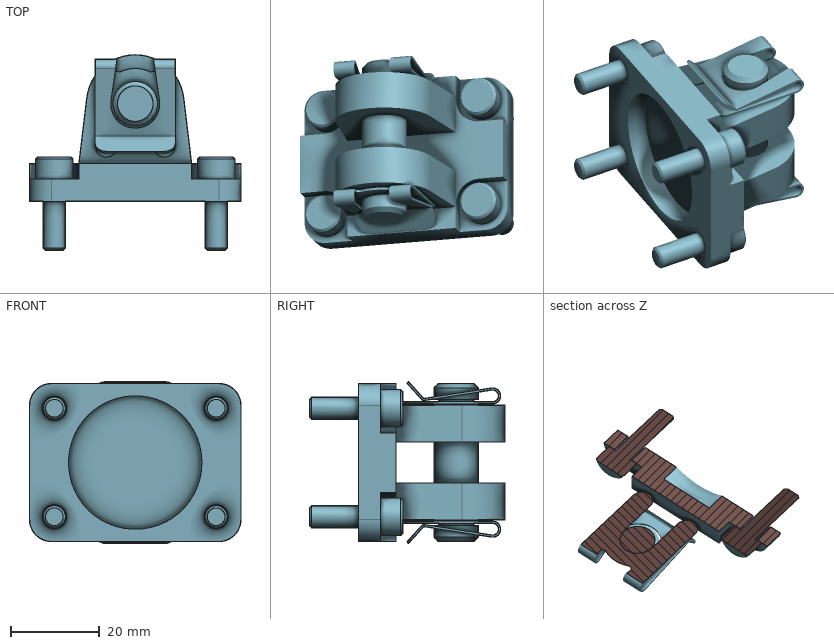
import cadquery as cq
import math


screw_pitch_x = 36.4
screw_pitch_z = 24.4
screw_edge_margin = 5.6
plate_width = screw_pitch_x + 2 * screw_edge_margin
plate_height = screw_pitch_z + 2 * screw_edge_margin
plate_thickness = 8.5
plate_corner_radius = 5.0
corner_thickness = 5.0
screw_pocket_radius = 5.5
screw_hole_diameter = 5.5
recess_diameter = 30.0
recess_depth = 4.5

lug_inner_z = 4.6
lug_outer_z = 12.9
lug_tip_radius = 11.0
lug_base_half_width = screw_pitch_x / 2 - screw_pocket_radius

pin_y = 22.0
pin_diameter = 10.0
pin_length = plate_height
pin_chamfer = 1.0
groove_diameter = 8.0
groove_width = 1.0
groove_start_z = 13.2

screw_diameter = 5.0
screw_length = 16.0
screw_head_diameter = 8.5
screw_head_height = 5.0
screw_chamfer = 0.5

clip_width = 18.0
clip_thickness = 0.5
prong_end_y = 10.0
slot_width = groove_diameter
prong_radius = (clip_width - slot_width) / 4
bend_outer_radius = 1.8
bend_end_y = 32.0
spring_leg_angle = math.radians(8.8)
kink_y = 14.6
kink_radius = 0.45
tip_angle = math.radians(48)
tip_top_z = 18.215
tip_corner_radius = 2.5
window_radius = 5.5
window_taper = math.radians(8.3)
collar_radius = 7.9
window_corner_radius = 0.8

screw_positions = [
    (side_x * screw_pitch_x / 2, side_z * screw_pitch_z / 2) for side_x in (-1, 1) for side_z in (-1, 1)
]


def cylinder_y(diameter, start_y, length, x=0, z=0):
    """Cylinder that runs from start_y toward +Y."""
    return cq.Workplane("XZ", origin=(x, start_y, z)).circle(diameter / 2).extrude(-length)


def cylinder_z(diameter, start_z, length, y):
    """Cylinder that runs from start_z toward +Z."""
    return cq.Workplane("XY", origin=(0, y, start_z)).circle(diameter / 2).extrude(length)


def make_lug_blank():
    """Both lugs and the gap between them: flanks tangent to the round tip."""
    base_drop = pin_y - plate_thickness
    base_distance = math.hypot(lug_base_half_width, base_drop)
    tangent_angle = math.acos(lug_tip_radius / base_distance) - math.atan2(base_drop, lug_base_half_width)
    tangent_x = lug_tip_radius * math.cos(tangent_angle)
    tangent_y = pin_y + lug_tip_radius * math.sin(tangent_angle)
    return (
        cq.Workplane("XY", origin=(0, 0, -lug_outer_z))
        .moveTo(-lug_base_half_width, plate_thickness)
        .lineTo(lug_base_half_width, plate_thickness)
        .lineTo(tangent_x, tangent_y)
        .threePointArc((0, pin_y + lug_tip_radius), (-tangent_x, tangent_y))
        .close()
        .extrude(2 * lug_outer_z)
    )


def make_screw_pocket(screw_x, screw_z):
    """Corner pocket, open to the outside, with its inner corner rounded about the screw axis."""
    size = 4 * screw_pocket_radius
    shift = size / 2 - screw_pocket_radius
    return (
        cq.Workplane("XZ", origin=(0, corner_thickness, 0))
        .center(screw_x + math.copysign(shift, screw_x), screw_z + math.copysign(shift, screw_z))
        .rect(size, size)
        .extrude(corner_thickness - plate_thickness)
        .edges("|Y")
        .fillet(screw_pocket_radius)
    )


def make_clevis():
    body = (
        cq.Workplane("XZ")
        .rect(plate_width, plate_height)
        .extrude(-plate_thickness)
        .edges("|Y")
        .fillet(plate_corner_radius)
    )
    gap_length = pin_y + lug_tip_radius
    gap = cq.Workplane("XY").box(plate_width, gap_length, 2 * lug_inner_z)
    gap = gap.translate((0, plate_thickness + gap_length / 2, 0))
    body = body.union(make_lug_blank().cut(gap))
    body = body.cut(cylinder_z(pin_diameter, -lug_outer_z, 2 * lug_outer_z, pin_y))
    body = body.cut(cylinder_y(recess_diameter, 0, recess_depth))
    for x, z in screw_positions:
        body = body.cut(make_screw_pocket(x, z))
        body = body.cut(cylinder_y(screw_hole_diameter, 0, corner_thickness, x, z))
    return body


def make_pin():
    pin = cylinder_z(pin_diameter, -pin_length / 2, pin_length, pin_y)
    pin = pin.faces("<Z or >Z").chamfer(pin_chamfer)
    for start_z in (groove_start_z, -groove_start_z - groove_width):
        ring = cylinder_z(pin_diameter, start_z, groove_width, pin_y)
        pin = pin.cut(ring.cut(cylinder_z(groove_diameter, start_z, groove_width, pin_y)))
    return pin


def make_screw(x, z):
    """Cap screw whose head seats on the pocket floor."""
    head = cylinder_y(screw_head_diameter, corner_thickness, screw_head_height, x, z)
    head = head.faces(">Y").chamfer(screw_chamfer)
    shank = cylinder_y(screw_diameter, corner_thickness - screw_length, screw_length, x, z)
    shank = shank.faces("<Y").chamfer(screw_chamfer)
    return head.union(shank)


def make_clip_strip():
    """Bent strip: flat leg, round bend, sloping spring leg, kink and raised tip."""
    half_thickness = clip_thickness / 2
    bend_radius = bend_outer_radius - half_thickness
    bend_y = bend_end_y - bend_outer_radius
    bend_z = groove_start_z + bend_outer_radius
    leg_y, leg_z = -math.cos(spring_leg_angle), -math.sin(spring_leg_angle)
    tip_y, tip_z = -math.cos(tip_angle), math.sin(tip_angle)

    flat_z = groove_start_z + half_thickness
    leg_start = (bend_y + bend_radius * leg_z, bend_z - bend_radius * leg_y)
    middle_angle = spring_leg_angle / 2
    bend_middle = (
        bend_y + bend_radius * math.cos(middle_angle),
        bend_z + bend_radius * math.sin(middle_angle),
    )

    corner_z = leg_start[1] + (kink_y - leg_start[0]) * leg_z / leg_y
    half_turn = (spring_leg_angle + tip_angle) / 2
    setback = kink_radius * math.tan(half_turn)
    kink_start = (kink_y - setback * leg_y, corner_z - setback * leg_z)
    kink_end = (kink_y + setback * tip_y, corner_z + setback * tip_z)
    corner_gap = kink_radius / math.cos(half_turn) - kink_radius
    bisector = (tip_angle - spring_leg_angle) / 2
    kink_middle = (kink_y + corner_gap * math.sin(bisector), corner_z + corner_gap * math.cos(bisector))

    tip_length = (tip_top_z - half_thickness * math.cos(tip_angle) - corner_z) / tip_z
    tip_end = (kink_y + tip_length * tip_y, corner_z + tip_length * tip_z)

    path = (
        cq.Workplane("YZ")
        .moveTo(prong_end_y, flat_z)
        .lineTo(bend_y, flat_z)
        .threePointArc(bend_middle, leg_start)
        .lineTo(*kink_start)
        .threePointArc(kink_middle, kink_end)
        .lineTo(*tip_end)
    )
    section = cq.Workplane("XZ", origin=(0, prong_end_y, flat_z)).rect(clip_width, clip_thickness)
    return section.sweep(path)


def make_window_outline(start_z):
    """Keyhole outline: round about the pin, narrowing toward the bend."""
    side_x = window_radius * math.cos(window_taper)
    side_y = pin_y + window_radius * math.sin(window_taper)
    end_y = bend_end_y + clip_thickness
    end_x = side_x - (end_y - side_y) * math.tan(window_taper)
    return (
        cq.Workplane("XY", origin=(0, 0, start_z))
        .moveTo(end_x, end_y)
        .lineTo(side_x, side_y)
        .threePointArc((0, pin_y - window_radius), (-side_x, side_y))
        .lineTo(-end_x, end_y)
        .close()
    )


def make_clip():
    """Upper spring clip, seated in the upper groove of the pin."""
    clip = make_clip_strip()
    tip_region = cq.selectors.BoxSelector(
        (-clip_width, prong_end_y, tip_top_z - 2 * clip_thickness),
        (clip_width, kink_y, tip_top_z + clip_thickness),
    )
    clip = clip.edges(tip_region).edges("not |X").fillet(tip_corner_radius)

    flat_leg_top = groove_start_z + clip_thickness
    upper_window = make_window_outline(flat_leg_top).extrude(2 * bend_outer_radius)
    clip = clip.cut(upper_window)

    lower_window = make_window_outline(groove_start_z).extrude(clip_thickness)
    lower_window = lower_window.cut(cylinder_z(2 * collar_radius, groove_start_z, clip_thickness, pin_y))
    lower_window = lower_window.edges("|Z and <Y").fillet(window_corner_radius)
    clip = clip.cut(lower_window)

    slot_length = pin_y - prong_end_y
    slot = cq.Workplane("XY", origin=(0, prong_end_y + slot_length / 2, groove_start_z))
    slot = slot.rect(slot_width, slot_length).extrude(clip_thickness)
    slot = slot.union(cylinder_z(slot_width, groove_start_z, clip_thickness, pin_y))
    clip = clip.cut(slot)

    for side in (-1, 1):
        prong_x = side * (slot_width / 2 + prong_radius)
        end = cq.Workplane("XY", origin=(prong_x, prong_end_y + prong_radius / 2, groove_start_z))
        end = end.rect(2 * prong_radius, prong_radius).extrude(clip_thickness)
        rounding = cylinder_z(2 * prong_radius, groove_start_z, clip_thickness, prong_end_y + prong_radius)
        clip = clip.cut(end.cut(rounding.translate((prong_x, 0, 0))))
    return clip


clevis = make_clevis()
pin = make_pin()
screws = [make_screw(x, z) for x, z in screw_positions]
upper_clip = make_clip()
lower_clip = upper_clip.mirror("XY")

result = cq.Compound.makeCompound([
    clevis.val(),
    pin.val(),
    *[screw.val() for screw in screws],
    *upper_clip.vals(),
    *lower_clip.vals(),
])